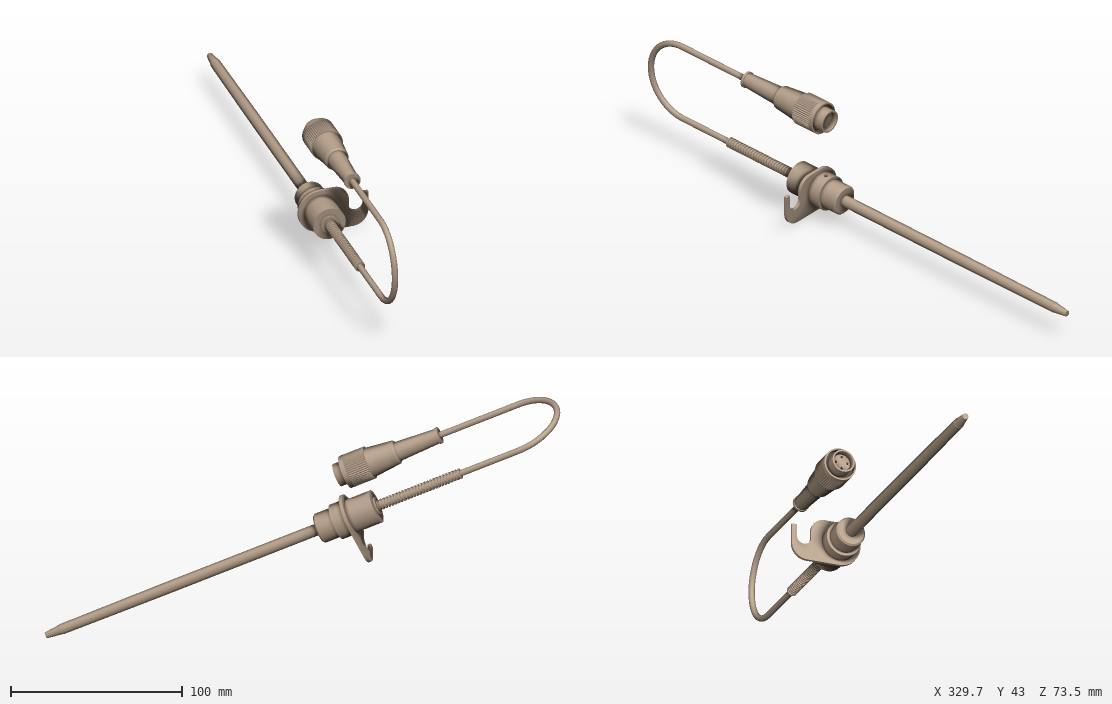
import cadquery as cq
import math


tip_length = 10.0
tip_end_diameter = 3.7
tip_base_diameter = 6.0
sleeve_end = 75.0
sleeve_front_diameter = 6.3
shaft_diameter = 7.0
ring_length = 5.0
ring_end = sleeve_end + ring_length

housing_start = 175.0
nose_length = 11.2
nose_diameter = 18.0
nose_chamfer = 1.0
collar_diameter = 21.5
plate_start = 194.0
plate_thickness = 2.0
barrel_end = 212.0
barrel_diameter = 20.0
boss_length = 1.0
boss_diameter = 11.0
housing_end = barrel_end + boss_length
screw_hole_diameter = 2.46
screw_hole_depth = 3.0
screw_hole_x = 190.0

plate_radius = 13.5
hook_tip_y = 29.5
hook_tip_z = 8.0
tine_width = 3.0
slot_radius = 4.5
slot_center_z = 0.8
shoulder_radius = 8.5
heel_radius = 9.5

rib_diameter = 6.3
rib_core_diameter = 5.0
rib_pitch = 2.0
rib_width = 1.0
rib_count = 27
relief_length = (rib_count - 1) * rib_pitch + rib_width
relief_end = housing_end + relief_length

cable_diameter = 3.7
cable_bend_radius = 25.0
overall_length = 329.72
bend_start = overall_length - cable_bend_radius - cable_diameter / 2
connector_z = 2 * cable_bend_radius

plug_start = 186.8
plug_diameter = 13.9
plug_bore_diameter = 12.0
plug_bore_depth = 5.0
insert_diameter = 10.2
insert_recess = 3.0
nut_start = 192.0
nut_diameter = 19.9
nut_bore_diameter = 18.0
nut_bore_depth = 3.0
knurl_start = 194.8
knurl_end = 207.8
knurl_count = 50
knurl_depth = 0.5
body_front_diameter = 18.0
body_end = 225.6
body_end_diameter = 14.4
body_end_chamfer = 0.8
boot_front_diameter = 11.6
boot_cone_end = 251.2
boot_end_diameter = 8.92
boot_rim_diameter = 10.0
boot_end = 252.7
pole_count = 4
pole_diameter = 1.5
pole_circle_diameter = 7.2
pole_depth = 3.0


def cylinder_x(start, end, diameter, z=0.0):
    """Cylinder along X between two X positions."""
    plane = cq.Workplane("YZ", origin=(start, 0, z))
    return plane.circle(diameter / 2).extrude(end - start)


def turned(stations, z=0.0):
    """Solid of revolution about a line along X, from (x, diameter) stations."""
    points = [(stations[0][0], 0)]
    points += [(x, diameter / 2) for x, diameter in stations]
    points.append((stations[-1][0], 0))
    profile = cq.Workplane("XY", origin=(0, 0, z)).polyline(points).close()
    return profile.revolve(360, (0, 0, 0), (1, 0, 0))


def make_tip():
    return turned([(0, tip_end_diameter), (tip_length, tip_base_diameter)])


def make_sleeve():
    return turned([(tip_length, sleeve_front_diameter), (sleeve_end, shaft_diameter)])


def make_ring():
    return cylinder_x(sleeve_end, ring_end, shaft_diameter)


def make_shaft():
    return cylinder_x(ring_end, housing_start, shaft_diameter)


def make_housing():
    """Stepped turned housing with a screw hole in the top of its collar."""
    nose_end = housing_start + nose_length
    housing = turned([
        (housing_start, nose_diameter - 2 * nose_chamfer),
        (housing_start + nose_chamfer, nose_diameter),
        (nose_end, nose_diameter),
        (nose_end, collar_diameter),
        (plate_start, collar_diameter),
        (plate_start, barrel_diameter),
        (barrel_end, barrel_diameter),
        (barrel_end, boss_diameter),
        (housing_end, boss_diameter),
    ])
    hole_floor = collar_diameter / 2 - screw_hole_depth
    hole = (
        cq.Workplane("XY", origin=(screw_hole_x, 0, hole_floor))
        .circle(screw_hole_diameter / 2)
        .extrude(2 * screw_hole_depth)
    )
    return housing.cut(hole)


def make_hook_plate():
    """Flat plate around the housing barrel, with a hook opening upward at its +Y end."""
    diagonal = math.sqrt(0.5)
    slot_outer_y = hook_tip_y - tine_width
    slot_center_y = slot_outer_y - slot_radius
    slot_inner_y = slot_center_y - slot_radius
    shoulder_y = slot_inner_y - shoulder_radius
    shoulder_z = plate_radius - shoulder_radius
    heel_y = hook_tip_y - heel_radius
    heel_z = heel_radius - plate_radius
    return (
        cq.Workplane("YZ", origin=(plate_start, 0, 0))
        .moveTo(0, -plate_radius)
        .lineTo(heel_y, -plate_radius)
        .threePointArc(
            (heel_y + heel_radius * diagonal, heel_z - heel_radius * diagonal), (hook_tip_y, heel_z)
        )
        .lineTo(hook_tip_y, hook_tip_z)
        .lineTo(slot_outer_y, hook_tip_z)
        .lineTo(slot_outer_y, slot_center_z)
        .threePointArc((slot_center_y, slot_center_z - slot_radius), (slot_inner_y, slot_center_z))
        .lineTo(slot_inner_y, shoulder_z)
        .threePointArc(
            (shoulder_y + shoulder_radius * diagonal, shoulder_z + shoulder_radius * diagonal),
            (shoulder_y, plate_radius),
        )
        .lineTo(0, plate_radius)
        .threePointArc((-plate_radius, 0), (0, -plate_radius))
        .close()
        .extrude(plate_thickness)
        .cut(cylinder_x(plate_start, plate_start + plate_thickness, barrel_diameter))
    )


def make_bend_relief():
    """Sleeve with evenly spaced ribs around the cable."""
    sleeve = cylinder_x(housing_end, relief_end, rib_core_diameter)
    for rib in range(rib_count):
        rib_start = housing_end + rib * rib_pitch
        sleeve = sleeve.union(cylinder_x(rib_start, rib_start + rib_width, rib_diameter))
    return sleeve.cut(cylinder_x(housing_end, relief_end, cable_diameter))


def make_cable():
    """Cable from the housing through a half-circle bend to the connector boot."""
    path = (
        cq.Workplane("XZ")
        .moveTo(housing_end, 0)
        .lineTo(bend_start, 0)
        .threePointArc(
            (bend_start + cable_bend_radius, cable_bend_radius), (bend_start, connector_z)
        )
        .lineTo(boot_end, connector_z)
    )
    section = cq.Workplane("YZ", origin=(housing_end, 0, 0)).circle(cable_diameter / 2)
    return section.sweep(path)


def make_connector():
    """Plug, knurled coupling nut, tapered body and cable boot in one piece."""
    connector = turned(
        [
            (plug_start, plug_diameter),
            (nut_start + nut_bore_depth, plug_diameter),
            (nut_start + nut_bore_depth, nut_bore_diameter),
            (nut_start, nut_bore_diameter),
            (nut_start, nut_diameter),
            (knurl_end, nut_diameter),
            (knurl_end, body_front_diameter),
            (body_end - body_end_chamfer, body_end_diameter),
            (body_end, body_end_diameter - 2 * body_end_chamfer),
            (body_end, boot_front_diameter),
            (boot_cone_end, boot_end_diameter),
            (boot_cone_end, boot_rim_diameter),
            (boot_end, boot_rim_diameter),
        ],
        connector_z,
    )
    bore_floor = plug_start + plug_bore_depth
    insert_face = plug_start + insert_recess
    bore = cylinder_x(plug_start, bore_floor, plug_bore_diameter, connector_z)
    insert = cylinder_x(insert_face, bore_floor, insert_diameter, connector_z)
    poles = (
        cq.Workplane("YZ", origin=(insert_face, 0, connector_z))
        .polarArray(pole_circle_diameter / 2, 0, 360, pole_count)
        .circle(pole_diameter / 2)
        .extrude(pole_depth)
    )
    connector = connector.cut(bore.cut(insert))
    return connector.cut(poles).cut(make_knurl_band())


def make_knurl_band():
    """Ring whose inner edge is a row of V teeth; cutting it away leaves a straight knurl."""
    tooth_angle = 2 * math.pi / knurl_count
    crest = nut_diameter / 2
    root = crest - knurl_depth
    corners = []
    for tooth in range(knurl_count):
        for radius, step in ((crest, tooth), (root, tooth + 0.5)):
            angle = step * tooth_angle
            corners.append((radius * math.cos(angle), radius * math.sin(angle)))
    length = knurl_end - knurl_start
    band_radius = crest + knurl_depth
    plane = cq.Workplane("YZ", origin=(knurl_start, 0, connector_z))
    teeth = plane.polyline(corners).close().extrude(length)
    return plane.circle(band_radius).extrude(length).cut(teeth)


tip = make_tip()
sleeve = make_sleeve()
ring = make_ring()
shaft = make_shaft()
housing = make_housing()
hook_plate = make_hook_plate()
bend_relief = make_bend_relief()
cable = make_cable()
connector = make_connector()

bodies = [tip, sleeve, ring, shaft, housing, hook_plate, bend_relief, cable, connector]
result = cq.Compound.makeCompound([body.val() for body in bodies])